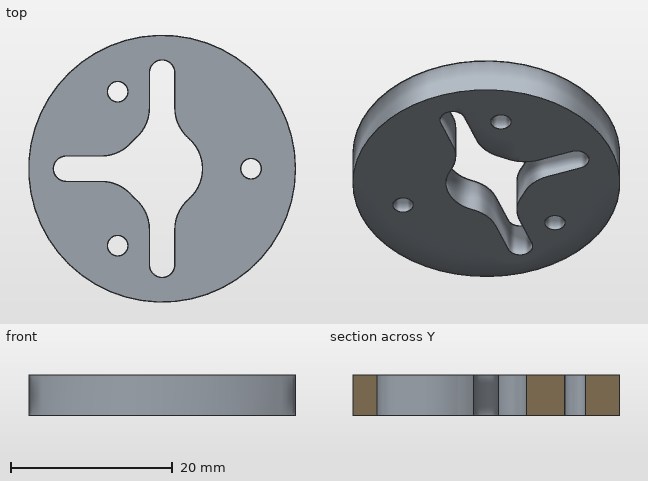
import cadquery as cq
import math

disc_diameter = 33.0
thickness = 5.0

opening_radius = 4.98
slot_width = 3.1
slot_reach = 13.43
slot_angles = (90, 180, 270)
blend_radius = 4.98

hole_diameter = 2.5
hole_circle_radius = 11.0
hole_count = 3


def slot_cutter(angle):
    """Radial slot from the disc center to a rounded tip, pointing along angle."""
    tip_center = slot_reach - slot_width / 2
    straight = cq.Workplane("XY").box(tip_center, slot_width, thickness, centered=(False, True, False))
    tip = cq.Workplane("XY").center(tip_center, 0).circle(slot_width / 2).extrude(thickness)
    return straight.union(tip).rotate((0, 0, 0), (0, 0, 1), angle)


def opening_cutter():
    """Central opening and slots, with their shared corners rounded."""
    cutter = cq.Workplane("XY").circle(opening_radius).extrude(thickness)
    for angle in slot_angles:
        cutter = cutter.union(slot_cutter(angle))

    half_width = slot_width / 2
    corner_distance = math.sqrt(opening_radius**2 - half_width**2)
    corners = []
    for angle in slot_angles:
        direction = cq.Vector(math.cos(math.radians(angle)), math.sin(math.radians(angle)), 0)
        sideways = cq.Vector(-direction.y, direction.x, 0)
        for side in (-1, 1):
            corner = direction * corner_distance + sideways * (side * half_width)
            corners.append(corner + cq.Vector(0, 0, thickness / 2))
    for corner in corners:
        nearest_edge = cq.selectors.NearestToPointSelector(corner.toTuple())
        cutter = cutter.edges("|Z").edges(nearest_edge).fillet(blend_radius)
    return cutter


disc = cq.Workplane("XY").circle(disc_diameter / 2).extrude(thickness)
holes = (
    cq.Workplane("XY")
    .polarArray(hole_circle_radius, 0, 360, hole_count)
    .circle(hole_diameter / 2)
    .extrude(thickness)
)
result = disc.cut(opening_cutter()).cut(holes)